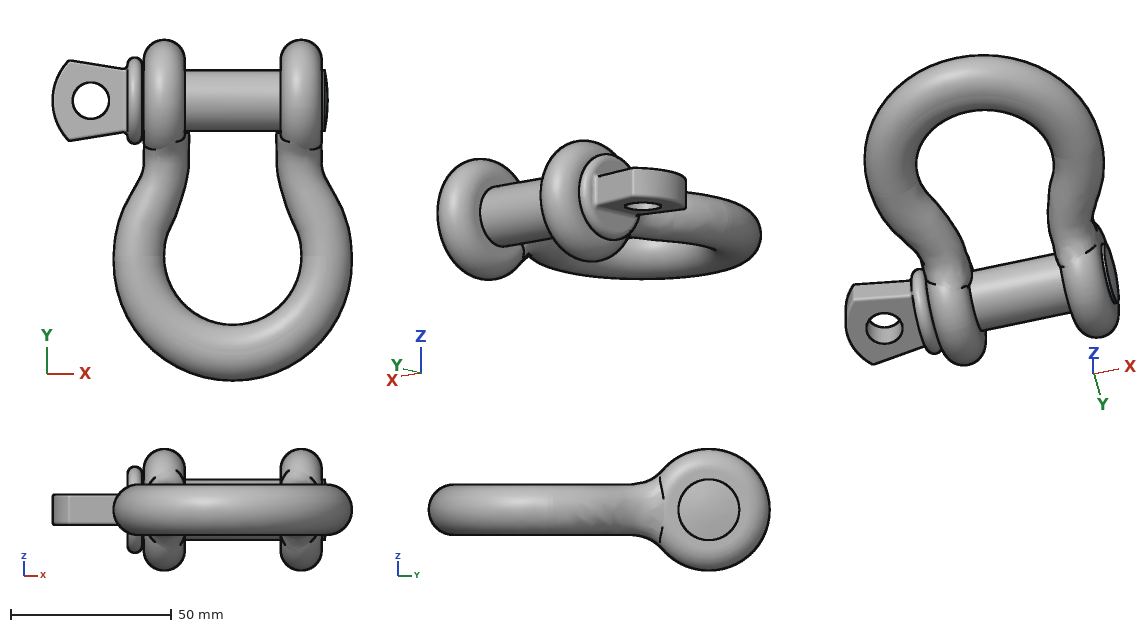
import cadquery as cq
import math


tube_diameter = 15.8
tube_radius = tube_diameter / 2
bow_outer_radius = 37.2
bow_mean_radius = bow_outer_radius - tube_radius
bow_inside_center_y = -48.5
bow_outside_center_y = -50.2

ear_radius = 19.01
ear_width = 12.9
ear_edge_radius = ear_width / 2
ear_offset = 21.35
ear_outer_x = ear_offset + ear_edge_radius

arm_sweep = 30
arm_curve_steps = 6
arm_waist_width = 14.9
arm_waist_tilt = 18
arm_waist_x = 23.0
arm_waist_y = -28.4
leg_width = 14.2
leg_x = 20.7
leg_section_ys = (-20.0, -17.0, -14.3, -10.0)
ear_blend_radius = 13.3

pin_radius = 9.5
pin_tip_length = 0.9
pin_dome_height = 0.95
collar_radius = 13.5
collar_width = 4.6
collar_gap = 0.45
pin_tip_x = ear_outer_x + pin_tip_length
collar_right_x = -ear_outer_x - collar_gap
collar_left_x = collar_right_x - collar_width

paddle_thickness = 9.6
paddle_root_half = 9.7
paddle_corner_half = 12.65
paddle_arc_height = 5.2
paddle_tip_x = -56.25
paddle_hole_radius = 5.65
paddle_hole_from_tip = 12.0
paddle_hole_x = paddle_tip_x + paddle_hole_from_tip
paddle_edge_fillet = 1.0
paddle_root_fillet = 1.3


def half_section_ring(side, center_y):
    """Lower half of a ring whose section is the inner (side=-1) or outer (side=+1) half of the tube."""
    return (
        cq.Workplane("XZ", origin=(0, center_y, 0))
        .moveTo(bow_mean_radius, -tube_radius)
        .threePointArc((bow_mean_radius + side * tube_radius, 0), (bow_mean_radius, tube_radius))
        .close()
        .revolve(180, (0, 0), (0, -1))
    )


def crown_crescent():
    """Fill between the inner and outer half tubes, thickest at the crown."""
    left = -bow_mean_radius
    right = bow_mean_radius
    return (
        cq.Workplane("XY", origin=(0, 0, -tube_radius))
        .moveTo(left, bow_inside_center_y)
        .lineTo(left, bow_outside_center_y)
        .threePointArc((0, bow_outside_center_y - bow_mean_radius), (right, bow_outside_center_y))
        .lineTo(right, bow_inside_center_y)
        .threePointArc((0, bow_inside_center_y - bow_mean_radius), (left, bow_inside_center_y))
        .close()
        .extrude(tube_diameter)
    )


def build_bow():
    """Lower half of the bow; short straights lift the outer half tube to the inner centre."""
    straight = (
        cq.Workplane("XZ", origin=(0, bow_inside_center_y, 0))
        .moveTo(bow_mean_radius, -tube_radius)
        .threePointArc((bow_outer_radius, 0), (bow_mean_radius, tube_radius))
        .close()
        .extrude(bow_inside_center_y - bow_outside_center_y)
    )
    return (
        half_section_ring(-1, bow_inside_center_y)
        .union(crown_crescent())
        .union(half_section_ring(1, bow_outside_center_y))
        .union(straight)
        .union(straight.mirror("YZ"))
    )


def arm_half_height(y):
    """Half height of the arm at y: the tube radius, flaring along the blend that meets the ear rim."""
    blend_z = tube_radius + ear_blend_radius
    blend_y = -math.sqrt((ear_radius + ear_blend_radius) ** 2 - blend_z**2)
    meet_y = blend_y * ear_radius / (ear_radius + ear_blend_radius)
    rise = min(max(y, blend_y), meet_y) - blend_y
    return blend_z - math.sqrt(ear_blend_radius**2 - rise**2)


def arm_section(x, y, tilt, width):
    """Elliptical wire across the right arm; tilt is the lean of its width direction in degrees."""
    angle = math.radians(tilt)
    along = cq.Vector(math.cos(angle), math.sin(angle), 0)
    up = cq.Vector(-math.sin(angle), math.cos(angle), 0)
    return cq.Wire.makeEllipse(width / 2, arm_half_height(y), cq.Vector(x, y, 0), up, along)


def build_right_arm():
    """Loft from the end of the bow, through the reverse bend, up into the ear."""
    sections = []
    for step in range(arm_curve_steps + 1):
        tilt = arm_sweep * step / arm_curve_steps
        x = bow_mean_radius * math.cos(math.radians(tilt))
        y = bow_inside_center_y + bow_mean_radius * math.sin(math.radians(tilt))
        sections.append(arm_section(x, y, tilt, tube_diameter))
    sections.append(arm_section(arm_waist_x, arm_waist_y, arm_waist_tilt, arm_waist_width))
    for y in leg_section_ys:
        sections.append(arm_section(leg_x, y, 0, leg_width))
    return cq.Workplane(cq.Solid.makeLoft(sections))


def build_right_ear():
    """Disc with a fully rounded rim."""
    rim_start = ear_radius - ear_edge_radius
    return (
        cq.Workplane("XY")
        .moveTo(ear_offset - ear_edge_radius, 0)
        .lineTo(ear_offset - ear_edge_radius, rim_start)
        .threePointArc((ear_offset, ear_radius), (ear_outer_x, rim_start))
        .lineTo(ear_outer_x, 0)
        .close()
        .revolve(360, (0, 0), (1, 0))
    )


def build_shackle():
    """Bow, arms and ears as one body, bored through both ears for the pin."""
    side = build_right_ear().union(build_right_arm())
    body = build_bow().union(side).union(side.mirror("YZ"))
    pin_hole = cq.Workplane("YZ").circle(pin_radius).extrude(ear_outer_x, both=True)
    return body.cut(pin_hole)


def build_pin_shank():
    """Shank with a rounded collar at the left and a shallow dome at the right."""
    collar_edge = collar_width / 2
    dome_radius = (pin_radius**2 + pin_dome_height**2) / (2 * pin_dome_height)
    dome_center_x = pin_tip_x + pin_dome_height - dome_radius
    dome_mid_angle = math.asin(pin_radius / dome_radius) / 2
    dome_mid = (
        dome_center_x + dome_radius * math.cos(dome_mid_angle),
        dome_radius * math.sin(dome_mid_angle),
    )
    return (
        cq.Workplane("XY")
        .moveTo(collar_left_x, 0)
        .lineTo(collar_left_x, collar_radius - collar_edge)
        .threePointArc(
            (collar_left_x + collar_edge, collar_radius), (collar_right_x, collar_radius - collar_edge)
        )
        .lineTo(collar_right_x, pin_radius)
        .lineTo(pin_tip_x, pin_radius)
        .threePointArc(dome_mid, (pin_tip_x + pin_dome_height, 0))
        .close()
        .revolve(360, (0, 0), (1, 0))
    )


def build_paddle():
    """Flat handle that widens away from the collar to a curved end, with a cross hole."""
    corner_x = paddle_tip_x + paddle_arc_height
    blank = (
        cq.Workplane("XY", origin=(0, 0, -paddle_thickness / 2))
        .moveTo(collar_left_x, -paddle_root_half)
        .lineTo(collar_left_x, paddle_root_half)
        .lineTo(corner_x, paddle_corner_half)
        .threePointArc((paddle_tip_x, 0), (corner_x, -paddle_corner_half))
        .close()
        .extrude(paddle_thickness)
    )
    hole = cq.Workplane("XY").center(paddle_hole_x, 0).circle(paddle_hole_radius)
    rounded = blank.edges("not >X").fillet(paddle_edge_fillet)
    return rounded.cut(hole.extrude(paddle_thickness, both=True))


def build_pin():
    """Shank and paddle as one piece, blended where the paddle meets the collar."""
    margin = 0.01
    root_zone = cq.selectors.BoxSelector(
        (collar_left_x - margin, -collar_radius, -paddle_thickness),
        (collar_left_x + margin, collar_radius, paddle_thickness),
    )
    whole = build_pin_shank().union(build_paddle())
    return whole.edges(root_zone).edges("not %CIRCLE").fillet(paddle_root_fillet)


shackle = build_shackle()
pin = build_pin()
result = cq.Compound.makeCompound([shackle.solids().val(), pin.solids().val()])